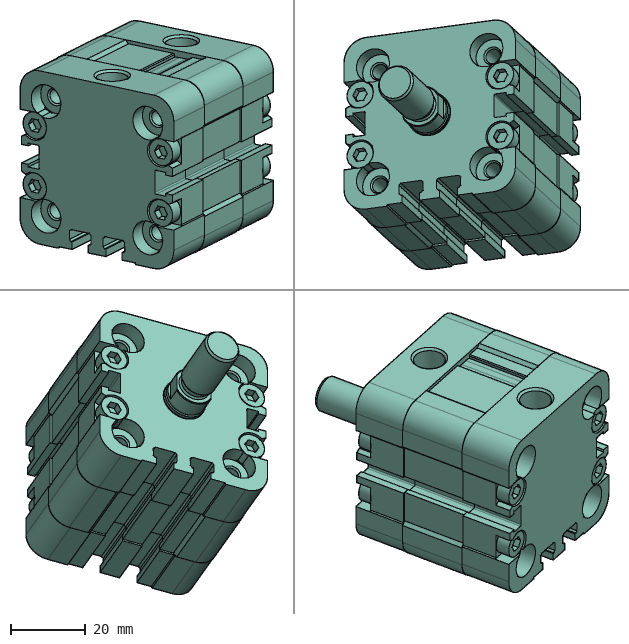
import cadquery as cq
import math

total_length = 75.0
body_size = 49.2
half_size = body_size / 2
cap_length = 15.0
barrel_length = 19.0
front_face_y = 2 * cap_length + barrel_length
cut_overshoot = 3.75

cap_corner_radius = 6.4
cap_recess_depth = 0.45
cap_recess_slope = 0.2
side_recess_half = 12.5
bottom_recess_half = 12.4

barrel_corner_radius = 6.1
barrel_recess_depth = 1.0
barrel_recess_half = 13.0

slot_floor = 18.5
slot_lip = 22.0
side_slot_opening_half = 2.6
side_slot_inner_half = 3.4
side_slot_fillet = 0.4
bottom_slot_offset = 5.4
bottom_slot_opening_half = 2.55
bottom_slot_inner_half = 3.45
bottom_slot_chamfer = 0.5

groove_offset = bottom_slot_offset
groove_half = 2.7
groove_crown_half = 1.05
groove_depth = 0.8
groove_rim_chamfer = 0.3
groove_edge_drop = 0.2

mount_offset = 16.3
mount_counterbore_diameter = 9.45
mount_counterbore_depth = 4.65
mount_mouth_diameter = 5.0
mount_hole_diameter = 4.1

screw_x = 20.2
screw_z = 8.6
head_diameter = 7.5
head_setback = 0.45
hex_across_flats = 3.5
hex_depth = 2.25
pocket_diameter = 8.0
pocket_depth = 4.4
pocket_edge_z = 4.95
pocket_edge_angle = 49.0

port_diameter = 8.55
port_mouth_diameter = 9.8
port_depth = 9.0

rod_diameter = 11.5
rod_shoulder_chamfer = 0.2
shoulder_reach = 6.9
flats_width = 10.0
flats_start = 2.55
neck_diameter = 8.0
neck_foot_diameter = 8.85
neck_start = 7.6
neck_end = 8.8
thread_diameter = 10.0
thread_start = 9.9
tip_diameter = 9.0
tip_chamfer_length = 0.75
ring_diameter = 12.0
ring_side_length = 1.05
ring_length = 1.5


def xz_plane(y):
    """Sketch plane whose local axes are X and Z; extruding by a negative length goes toward +Y."""
    return cq.Workplane("XZ", origin=(0, y, 0))


def prism(points, y, length):
    return xz_plane(y).polyline(points).close().extrude(-length)


def revolved(profile):
    """Body of revolution about the Y axis from (radius, y) points."""
    return cq.Workplane("XY").polyline(profile).close().revolve(360, (0, 0, 0), (0, 1, 0))


def rounded_block(corner_radius, y, length):
    return xz_plane(y).rect(body_size, body_size).extrude(-length).edges("|Y").fillet(corner_radius)


def turn(body, angle):
    """Turn about the cylinder axis, to reach the other three sides."""
    return body.rotate((0, 0, 0), (0, 1, 0), angle)


def recess(half_width, depth, slope, y, length):
    """Shallow recess in the top face, with side walls that lean outward by `slope`."""
    floor_z = half_size - depth
    points = [
        (-half_width + slope, floor_z),
        (half_width - slope, floor_z),
        (half_width, half_size),
        (half_width, half_size + cut_overshoot),
        (-half_width, half_size + cut_overshoot),
        (-half_width, half_size),
    ]
    return prism(points, y, length)


def slot(opening_half, inner_half, y, length):
    """T-slot opening at the top of the body, centred on X = 0, and its wide inner part."""
    mouth = (
        xz_plane(y)
        .center(0, (slot_floor + half_size + cut_overshoot) / 2)
        .rect(2 * opening_half, half_size + cut_overshoot - slot_floor)
        .extrude(-length)
    )
    inner = (
        xz_plane(y)
        .center(0, (slot_floor + slot_lip) / 2)
        .rect(2 * inner_half, slot_lip - slot_floor)
        .extrude(-length)
    )
    return mouth, inner


def cut_slots(body, y, length):
    mouth, inner = slot(side_slot_opening_half, side_slot_inner_half, y, length)
    side_slot = mouth.union(inner.faces("<Z").edges("|Y").fillet(side_slot_fillet))
    for angle in (90, -90):
        body = body.cut(turn(side_slot, angle))
    mouth, inner = slot(bottom_slot_opening_half, bottom_slot_inner_half, y, length)
    bottom_slot = turn(mouth.union(inner.edges("|Y").chamfer(bottom_slot_chamfer)), 180)
    for x in (-bottom_slot_offset, bottom_slot_offset):
        body = body.cut(bottom_slot.translate((x, 0, 0)))
    return body


def mount_hole():
    """Stepped corner hole, entering at Y = 0 and running to the inner face of the cap."""
    mouth_depth = mount_counterbore_depth + (mount_mouth_diameter - mount_hole_diameter) / 2
    profile = [
        (0, 0),
        (mount_counterbore_diameter / 2, 0),
        (mount_counterbore_diameter / 2, mount_counterbore_depth),
        (mount_mouth_diameter / 2, mount_counterbore_depth),
        (mount_hole_diameter / 2, mouth_depth),
        (mount_hole_diameter / 2, cap_length),
        (0, cap_length),
    ]
    return revolved(profile)


def screw_pocket():
    """Round pocket around the screw at +X, +Z, open to the side of the body."""
    angle = math.radians(pocket_edge_angle)
    radius = pocket_diameter / 2
    wall_start = (screw_x + radius * math.cos(angle), screw_z - radius * math.sin(angle))
    outer_x = half_size + cut_overshoot
    edge_x = half_size - cap_recess_depth
    points = [
        (screw_x, screw_z),
        wall_start,
        (edge_x, pocket_edge_z),
        (outer_x, pocket_edge_z),
        (outer_x, side_recess_half),
        (screw_x, side_recess_half),
    ]
    round_part = xz_plane(0).center(screw_x, screw_z).circle(radius).extrude(-pocket_depth)
    return round_part.union(prism(points, 0, pocket_depth))


def screw_head():
    """Socket head at +X, +Z that stands on the pocket floor."""
    height = pocket_depth - head_setback
    head = xz_plane(head_setback).center(screw_x, screw_z).circle(head_diameter / 2).extrude(-height)
    hex_corners = hex_across_flats / math.cos(math.pi / 6)
    socket = xz_plane(head_setback).center(screw_x, screw_z).polygon(6, hex_corners).extrude(-hex_depth)
    return head.cut(socket)


def four_ways(body):
    """The body and its mirror images across the two middle planes."""
    right_pair = [body, body.mirror("XY")]
    return right_pair + [copy.mirror("YZ") for copy in right_pair]


def port():
    """Air port entering the top face at the middle of the cap."""
    mouth_depth = (port_mouth_diameter - port_diameter) / 2
    profile = [
        (0, half_size),
        (port_mouth_diameter / 2, half_size),
        (port_diameter / 2, half_size - mouth_depth),
        (port_diameter / 2, half_size - port_depth),
        (0, half_size - port_depth),
    ]
    hole = cq.Workplane("XZ").polyline(profile).close().revolve(360, (0, 0, 0), (0, 1, 0))
    return hole.translate((0, cap_length / 2, 0))


def make_cap():
    """End cap with its outer face at Y = 0; its screw heads are part of it."""
    cap = rounded_block(cap_corner_radius, 0, cap_length)
    side_recess = recess(side_recess_half, cap_recess_depth, cap_recess_slope, 0, cap_length)
    for angle in (90, -90):
        cap = cap.cut(turn(side_recess, angle))
    bottom_recess = recess(bottom_recess_half, cap_recess_depth, cap_recess_slope, 0, cap_length)
    cap = cap.cut(turn(bottom_recess, 180))
    cap = cut_slots(cap, 0, cap_length)
    for hole in four_ways(mount_hole().translate((mount_offset, 0, mount_offset))):
        cap = cap.cut(hole)
    for pocket in four_ways(screw_pocket()):
        cap = cap.cut(pocket)
    for head in four_ways(screw_head()):
        cap = cap.union(head)
    return cap.cut(port())


def make_front_cap():
    cap = make_cap().mirror("XZ").translate((0, front_face_y, 0))
    rod_bore = xz_plane(front_face_y - cap_length).circle(rod_diameter / 2).extrude(-cap_length)
    return cap.cut(rod_bore)


def sensor_groove():
    """Groove in the floor of the top recess; its own floor is a low crown."""
    top_z = half_size - barrel_recess_depth
    crown_z = top_z - groove_depth
    edge_z = crown_z - groove_edge_drop
    rim_z = top_z - groove_rim_chamfer
    top_half = groove_half + groove_rim_chamfer
    run = groove_half - groove_crown_half
    crown_radius = (run**2 + groove_edge_drop**2) / (2 * groove_edge_drop)
    return (
        xz_plane(cap_length)
        .moveTo(-groove_crown_half, crown_z)
        .lineTo(groove_crown_half, crown_z)
        .radiusArc((groove_half, edge_z), crown_radius)
        .lineTo(groove_half, rim_z)
        .lineTo(top_half, top_z)
        .lineTo(top_half, half_size)
        .lineTo(-top_half, half_size)
        .lineTo(-top_half, top_z)
        .lineTo(-groove_half, rim_z)
        .lineTo(-groove_half, edge_z)
        .radiusArc((-groove_crown_half, crown_z), crown_radius)
        .close()
        .extrude(-barrel_length)
        .translate((groove_offset, 0, 0))
    )


def make_barrel():
    barrel = rounded_block(barrel_corner_radius, cap_length, barrel_length)
    shallow = recess(
        barrel_recess_half, barrel_recess_depth, barrel_recess_depth, cap_length, barrel_length
    )
    for angle in (0, 90, 180, 270):
        barrel = barrel.cut(turn(shallow, angle))
    barrel = cut_slots(barrel, cap_length, barrel_length)
    return barrel.cut(sensor_groove())


def make_ring():
    """Bearing ring on the front face, chamfered down to the rod."""
    profile = [
        (rod_diameter / 2, front_face_y),
        (ring_diameter / 2, front_face_y),
        (ring_diameter / 2, front_face_y + ring_side_length),
        (rod_diameter / 2, front_face_y + ring_length),
    ]
    return revolved(profile)


def make_rod():
    """Threaded rod that starts at the front end of the barrel."""
    shoulder_y = front_face_y + shoulder_reach
    rod_radius = rod_diameter / 2
    profile = [
        (0, front_face_y - cap_length),
        (rod_diameter / 2, front_face_y - cap_length),
        (rod_radius, shoulder_y - rod_shoulder_chamfer),
        (rod_radius - rod_shoulder_chamfer, shoulder_y),
        (neck_foot_diameter / 2, shoulder_y),
        (neck_diameter / 2, front_face_y + neck_start),
        (neck_diameter / 2, front_face_y + neck_end),
        (thread_diameter / 2, front_face_y + thread_start),
        (thread_diameter / 2, total_length - tip_chamfer_length),
        (tip_diameter / 2, total_length),
        (0, total_length),
    ]
    rod = revolved(profile)
    flats_length = shoulder_reach - flats_start
    for side in (-1, 1):
        flat = (
            xz_plane(front_face_y + flats_start)
            .center(side * (flats_width + rod_diameter) / 2, 0)
            .rect(rod_diameter, 2 * rod_diameter)
            .extrude(-flats_length)
        )
        rod = rod.cut(flat)
    return rod


rear_cap = make_cap()
barrel = make_barrel()
front_cap = make_front_cap()
bearing_ring = make_ring()
piston_rod = make_rod()

result = cq.Compound.makeCompound(
    [rear_cap.val(), barrel.val(), front_cap.val(), bearing_ring.val(), piston_rod.val()]
)